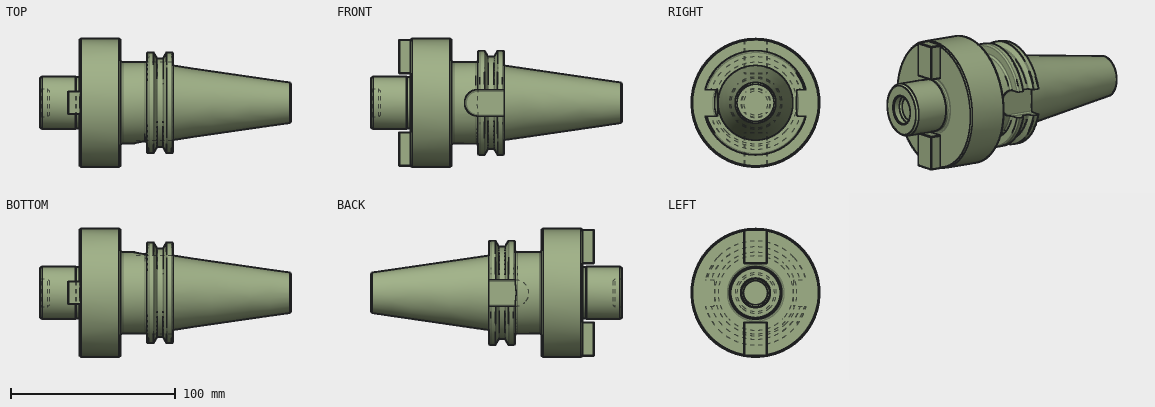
import cadquery as cq
import math


gauge_diameter = 44.45
taper_ratio = 7 / 24
taper_length = 68.4
taper_end_chamfer = 1.0

flange_diameter = 63.3
flange_gap = 3.2
flange_width = 15.9
flange_edge_radius = 1.0
groove_center_offset = 11.1
groove_diameter = 56.3
groove_bottom_width = 3.75
groove_flank_angle = 30
groove_edge_radius = 0.5

neck_diameter = 49.7
neck_fillet = 1.2
disc_diameter = 78.0
disc_width = 25.0
disc_chamfer_length = 1.0
disc_chamfer_depth = 0.8
gauge_to_disc_face = 60.0
spigot_diameter = 32.0
spigot_length = 24.0
spigot_chamfer_length = 1.5
spigot_chamfer_depth = 1.0

undercut_diameter = 31.5
undercut_length = 2.4
undercut_flank_angle = 27
undercut_radius = 0.7
undercut_face_depth = 0.1
undercut_face_angle = 7

bore_diameter = 17.0
bore_depth = 4.5
bore_mouth_chamfer = 0.5
bore_floor_diameter = 14.6

key_width = 14.0
key_height = 7.0
key_inner_radius = 17.7
key_chamfer = 0.45
key_seat_depth = 1.5

slot_width = 16.1
slot_floor_front = -22.8
slot_floor_back = 25.0
slot_floor_fillet = 0.9

disc_front = -gauge_to_disc_face
disc_back = disc_front + disc_width
spigot_tip = disc_front - spigot_length
flange_right = -flange_gap
flange_left = flange_right - flange_width
groove_center = -groove_center_offset


def taper_radius(x):
    return gauge_diameter / 2 - x * taper_ratio / 2


def revolve(profile):
    return profile.close().revolve(360, (0, 0, 0), (1, 0, 0))


def make_spigot_and_disc():
    spigot_r = spigot_diameter / 2
    disc_r = disc_diameter / 2
    neck_r = neck_diameter / 2
    undercut_r = undercut_diameter / 2
    undercut_start = disc_front - undercut_length
    flank_length = (spigot_r - undercut_r) / math.tan(math.radians(undercut_flank_angle))
    undercut_bottom = disc_front + undercut_face_depth
    fillet_end_r = undercut_r + undercut_radius
    face_slope_rise = undercut_face_depth / math.tan(math.radians(undercut_face_angle))
    profile = (
        cq.Workplane("XZ")
        .moveTo(spigot_tip, 0)
        .lineTo(spigot_tip, spigot_r - spigot_chamfer_depth)
        .lineTo(spigot_tip + spigot_chamfer_length, spigot_r)
        .lineTo(undercut_start, spigot_r)
        .lineTo(undercut_start + flank_length, undercut_r)
        .lineTo(undercut_bottom - undercut_radius, undercut_r)
        .radiusArc((undercut_bottom, fillet_end_r), -undercut_radius)
        .lineTo(disc_front, fillet_end_r + face_slope_rise)
        .lineTo(disc_front, disc_r - disc_chamfer_depth)
        .lineTo(disc_front + disc_chamfer_length, disc_r)
        .lineTo(disc_back - disc_chamfer_length, disc_r)
        .lineTo(disc_back, disc_r - disc_chamfer_depth)
        .lineTo(disc_back, neck_r + neck_fillet)
        .radiusArc((disc_back + neck_fillet, neck_r), -neck_fillet)
        .lineTo(flange_left - neck_fillet, neck_r)
        .radiusArc((flange_left, neck_r + neck_fillet), -neck_fillet)
        .lineTo(flange_left, 0)
    )
    return revolve(profile)


def make_flange_and_taper():
    flange_r = flange_diameter / 2
    groove_r = groove_diameter / 2
    flank_angle = math.radians(groove_flank_angle)
    bottom_half = groove_bottom_width / 2
    top_half = bottom_half + (flange_r - groove_r) * math.tan(flank_angle)
    round_r = groove_edge_radius
    tangent = round_r * math.tan((math.pi / 2 - flank_angle) / 2)
    flank_dx = tangent * math.sin(flank_angle)
    flank_dr = tangent * math.cos(flank_angle)
    edge = flange_edge_radius
    end_r = taper_radius(taper_length)
    chamfer_start = taper_length - taper_end_chamfer
    profile = (
        cq.Workplane("XZ")
        .moveTo(flange_left, 0)
        .lineTo(flange_left, flange_r - edge)
        .radiusArc((flange_left + edge, flange_r), edge)
        .lineTo(groove_center - top_half - tangent, flange_r)
        .radiusArc((groove_center - top_half + flank_dx, flange_r - flank_dr), round_r)
        .lineTo(groove_center - bottom_half - flank_dx, groove_r + flank_dr)
        .radiusArc((groove_center - bottom_half + tangent, groove_r), -round_r)
        .lineTo(groove_center + bottom_half - tangent, groove_r)
        .radiusArc((groove_center + bottom_half + flank_dx, groove_r + flank_dr), -round_r)
        .lineTo(groove_center + top_half - flank_dx, flange_r - flank_dr)
        .radiusArc((groove_center + top_half + tangent, flange_r), round_r)
        .lineTo(flange_right - edge, flange_r)
        .radiusArc((flange_right, flange_r - edge), edge)
        .lineTo(flange_right, taper_radius(flange_right))
        .lineTo(chamfer_start, taper_radius(chamfer_start))
        .lineTo(taper_length, end_r - taper_end_chamfer)
        .lineTo(taper_length, 0)
    )
    return revolve(profile)


def make_bore():
    bore_r = bore_diameter / 2
    floor_r = bore_floor_diameter / 2
    cone_start = spigot_tip + bore_depth
    bore_floor = cone_start + bore_r - floor_r
    profile = (
        cq.Workplane("XZ")
        .moveTo(spigot_tip, 0)
        .lineTo(spigot_tip, bore_r + bore_mouth_chamfer)
        .lineTo(spigot_tip + bore_mouth_chamfer, bore_r)
        .lineTo(cone_start, bore_r)
        .lineTo(bore_floor, floor_r)
        .lineTo(bore_floor, 0)
    )
    return revolve(profile)


def make_key():
    outer_z = math.sqrt((disc_diameter / 2) ** 2 - (key_width / 2) ** 2)
    key_length = outer_z - key_inner_radius
    return (
        cq.Workplane("XY")
        .box(key_height + key_seat_depth, key_width, key_length, centered=(False, True, False))
        .translate((disc_front - key_height, 0, key_inner_radius))
        .edges("|X or <X")
        .chamfer(key_chamfer)
    )


def make_slot(floor_y):
    side = math.copysign(1, floor_y)
    half_width = slot_width / 2
    depth = flange_diameter / 2 - abs(floor_y)
    floor_face = "<Y" if side > 0 else ">Y"
    return (
        cq.Workplane("XZ", origin=(0, floor_y, 0))
        .moveTo(flange_right, half_width)
        .lineTo(flange_left, half_width)
        .threePointArc((flange_left - half_width, 0), (flange_left, -half_width))
        .lineTo(flange_right, -half_width)
        .close()
        .extrude(-side * depth)
        .faces(floor_face)
        .edges("not >X")
        .fillet(slot_floor_fillet)
    )


upper_key = make_key()
lower_key = upper_key.rotate((0, 0, 0), (1, 0, 0), 180)

result = make_spigot_and_disc().union(make_flange_and_taper())
result = result.union(upper_key).union(lower_key)
result = result.cut(make_bore())
for floor_y in (slot_floor_front, slot_floor_back):
    result = result.cut(make_slot(floor_y))